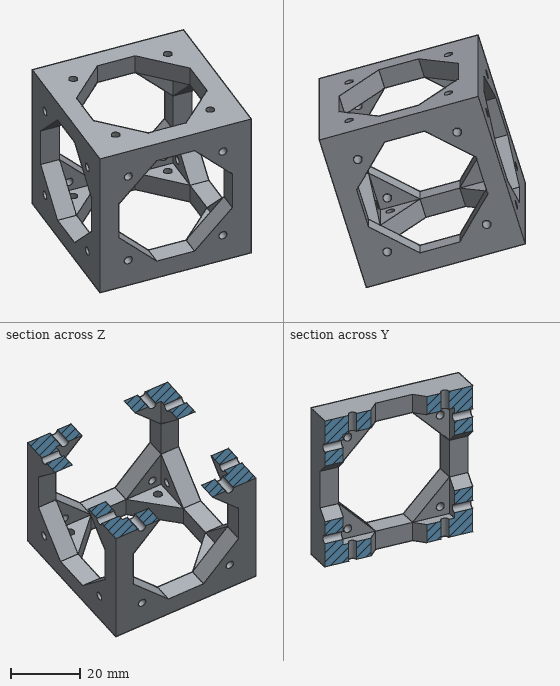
import cadquery as cq

cube_side = 48.0
wall = 6.0
window_flat = 12.0
hole_spacing = 30.0
hole_diameter = 2.5

cavity_side = cube_side - 2 * wall
window_corner_cut = (cavity_side - window_flat) / 2


def window_cutter():
    """Octagonal prism along Z: a square bar with chamfered long edges."""
    return (
        cq.Workplane("XY")
        .box(cavity_side, cavity_side, cube_side)
        .edges("|Z")
        .chamfer(window_corner_cut)
    )


def hole_cutter():
    """Four round pins along Z, one beside each sloping side of the window."""
    return (
        cq.Workplane("XY")
        .workplane(offset=-cube_side / 2)
        .rect(hole_spacing, hole_spacing, forConstruction=True)
        .vertices()
        .circle(hole_diameter / 2)
        .extrude(cube_side)
    )


def along_each_axis(cutter):
    """Copies of a Z-directed cutter turned to run along Z, Y and X."""
    origin = (0, 0, 0)
    return [
        cutter,
        cutter.rotate(origin, (1, 0, 0), 90),
        cutter.rotate(origin, (0, 1, 0), 90),
    ]


cavity = cq.Workplane("XY").box(cavity_side, cavity_side, cavity_side)
result = cq.Workplane("XY").box(cube_side, cube_side, cube_side).cut(cavity)

for cutter in along_each_axis(window_cutter()) + along_each_axis(hole_cutter()):
    result = result.cut(cutter)